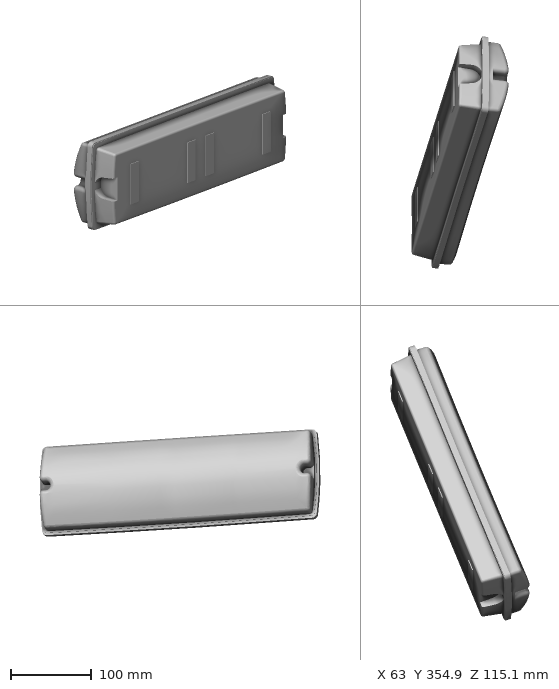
import cadquery as cq
import math


RIM_HALF_LENGTH = 177.47
RIM_HALF_WIDTH = 57.535
END_BULGE = 3.8
SIDE_BULGE = 0.6
RIM_CORNER_RADIUS = 6.0
CLEARANCE = 1.0

BOW_DEPTH = 1.2
BOW_RADIUS = (RIM_HALF_LENGTH**2 + BOW_DEPTH**2) / (2 * BOW_DEPTH)
BOW_HALF_ANGLE = math.degrees(math.asin((RIM_HALF_LENGTH + CLEARANCE) / BOW_RADIUS))

CROWN_X = -0.3
SHOULDER_X = 11.3
FLANGE_FRONT_X = 26.0
FLANGE_BACK_X = 26.8
RIM_BACK_X = 34.0
LIP_BACK_X = 34.8
BACK_X = 61.9
PAD_BACK_X = 63.03

FLANGE_INSET = 2.6
COVER_INSET = 4.7
COVER_DRAFT = 1.0
COVER_CORNER_RADIUS = 4.0
COVER_EDGE_FILLET = 4.5
NOTCH_FLOOR_X = 20.8
NOTCH_HALF_WIDTH = 5.6
NOTCH_TIP_INSET = 18.7
NOTCH_EDGE_FILLET = 5.0
COVER_HALF_WIDTH = RIM_HALF_WIDTH - COVER_INSET
DOME_RISE = SHOULDER_X - CROWN_X
DOME_RADIUS = (COVER_HALF_WIDTH**2 + DOME_RISE**2) / (2 * DOME_RISE)
TOOL_HALF_WIDTH = RIM_HALF_WIDTH + CLEARANCE

LIP_INSET = 1.2
TRAY_INSET = 6.9
TRAY_DRAFT = 7.0
TRAY_CORNER_RADIUS = 3.5
TRAY_BACK_FILLET = 3.0
RECESS_FLOOR_Y = 158.5
RECESS_RADIUS = 14.0
RECESS_BACK_HALF_WIDTH = 15.1
PAD_LENGTH = 15.0
PAD_HALF_WIDTH = 26.3
PAD_CENTRES_Y = (-126.3, -17.6, 17.6, 126.3)


def outline(x, inset):
    """Bowed rectangle at depth x, smaller than the rim by inset all round."""
    half_length = RIM_HALF_LENGTH - inset
    half_width = RIM_HALF_WIDTH - inset
    corner_y = half_length - END_BULGE
    corner_z = half_width - SIDE_BULGE
    return (
        cq.Workplane("YZ", origin=(x, 0, 0))
        .moveTo(-corner_y, -corner_z)
        .threePointArc((0, -half_width), (corner_y, -corner_z))
        .threePointArc((half_length, 0), (corner_y, corner_z))
        .threePointArc((0, half_width), (-corner_y, corner_z))
        .threePointArc((-half_length, 0), (-corner_y, -corner_z))
        .close()
    )


def bow(section):
    """Sweep a closed XZ section lengthwise along the bow, about an axis parallel to Z."""
    swept = section.revolve(
        2 * BOW_HALF_ANGLE,
        (BOW_DEPTH - BOW_RADIUS, 0, 0),
        (BOW_DEPTH - BOW_RADIUS, 1, 0),
    )
    return swept.rotate(
        (BOW_DEPTH - BOW_RADIUS, 0, 0), (BOW_DEPTH - BOW_RADIUS, 0, 1), -BOW_HALF_ANGLE
    )


def bowed_plate(front_x, back_x, inset):
    """Plate with the rim's outline, less inset, and bowed front and back faces."""
    section = (
        cq.Workplane("XZ")
        .moveTo(front_x + BOW_DEPTH, -TOOL_HALF_WIDTH)
        .lineTo(back_x + BOW_DEPTH, -TOOL_HALF_WIDTH)
        .lineTo(back_x + BOW_DEPTH, TOOL_HALF_WIDTH)
        .lineTo(front_x + BOW_DEPTH, TOOL_HALF_WIDTH)
        .close()
    )
    block_front_x = front_x - BOW_DEPTH
    block_back_x = back_x + 2 * BOW_DEPTH
    block = (
        outline(block_front_x, inset)
        .extrude(block_back_x - block_front_x)
        .edges("|X")
        .fillet(RIM_CORNER_RADIUS - inset)
    )
    return block.intersect(bow(section))


def build_dome():
    """Drafted walls of the cover, closed by the bowed dome in front and the bowed rim plane behind."""
    dome_x = CROWN_X + BOW_DEPTH
    back_x = FLANGE_BACK_X + BOW_DEPTH
    tool_edge_x = dome_x + DOME_RADIUS - math.sqrt(DOME_RADIUS**2 - TOOL_HALF_WIDTH**2)
    section = (
        cq.Workplane("XZ")
        .moveTo(tool_edge_x, -TOOL_HALF_WIDTH)
        .threePointArc((dome_x, 0), (tool_edge_x, TOOL_HALF_WIDTH))
        .lineTo(back_x, TOOL_HALF_WIDTH)
        .lineTo(back_x, -TOOL_HALF_WIDTH)
        .close()
    )
    root_x = back_x + BOW_DEPTH
    walls = outline(root_x, COVER_INSET).extrude(-root_x - BOW_DEPTH, taper=COVER_DRAFT)
    walls = walls.edges("not(#X or <X or >X)").fillet(COVER_CORNER_RADIUS)
    dome = walls.intersect(bow(section))
    front_edges = cq.selectors.BoxSelector(
        (CROWN_X - CLEARANCE, -RIM_HALF_LENGTH, -RIM_HALF_WIDTH),
        (SHOULDER_X + 2 * BOW_DEPTH, RIM_HALF_LENGTH, RIM_HALF_WIDTH),
    )
    return dome.edges(front_edges).fillet(COVER_EDGE_FILLET)


def notch_cutter(end):
    """Round-ended screw notch, open at the given end (+1 or -1) and at the front."""
    tip_centre_y = RIM_HALF_LENGTH - NOTCH_TIP_INSET + NOTCH_HALF_WIDTH
    return (
        cq.Workplane("YZ", origin=(NOTCH_FLOOR_X, 0, 0))
        .moveTo(end * RIM_HALF_LENGTH, -NOTCH_HALF_WIDTH)
        .lineTo(end * tip_centre_y, -NOTCH_HALF_WIDTH)
        .threePointArc(
            (end * (tip_centre_y - NOTCH_HALF_WIDTH), 0), (end * tip_centre_y, NOTCH_HALF_WIDTH)
        )
        .lineTo(end * RIM_HALF_LENGTH, NOTCH_HALF_WIDTH)
        .close()
        .extrude(CROWN_X - CLEARANCE - NOTCH_FLOOR_X)
    )


def notch_rim(end):
    """Selector for the edges of a notch where it opens through the dome and the end wall."""
    inner_y = RIM_HALF_LENGTH - NOTCH_TIP_INSET - CLEARANCE
    reach_z = NOTCH_HALF_WIDTH + CLEARANCE
    return cq.selectors.BoxSelector(
        (CROWN_X - CLEARANCE, end * inner_y, -reach_z),
        (NOTCH_FLOOR_X - CLEARANCE, end * RIM_HALF_LENGTH, reach_z),
    )


def build_cover():
    """Front cover: filleted dome with a screw notch at each end, on a thin flange."""
    cover = build_dome()
    for end in (-1, 1):
        cover = cover.cut(notch_cutter(end))
        cover = cover.edges(notch_rim(end)).fillet(NOTCH_EDGE_FILLET)
    flange = bowed_plate(FLANGE_FRONT_X, FLANGE_BACK_X, FLANGE_INSET)
    return cover.union(flange)


def recess_cutter(end):
    """Cable recess in the given end (+1 or -1) of the tray, rounded towards the rim."""
    centre_x = RIM_BACK_X + RECESS_RADIUS
    profile = (
        cq.Workplane("XZ", origin=(0, end * RECESS_FLOOR_Y, 0))
        .moveTo(PAD_BACK_X, -RECESS_BACK_HALF_WIDTH)
        .lineTo(centre_x, -RECESS_RADIUS)
        .threePointArc((RIM_BACK_X, 0), (centre_x, RECESS_RADIUS))
        .lineTo(PAD_BACK_X, RECESS_BACK_HALF_WIDTH)
        .close()
    )
    return profile.extrude(-end * (RIM_HALF_LENGTH - RECESS_FLOOR_Y))


def build_tray():
    """Back part with drafted walls, rounded corners and back edge, rooted inside the rim."""
    root_x = FLANGE_BACK_X + 2 * BOW_DEPTH
    tray = outline(root_x, TRAY_INSET).extrude(BACK_X - root_x, taper=TRAY_DRAFT)
    tray = tray.edges("not(#X or <X or >X)").fillet(TRAY_CORNER_RADIUS)
    tray = tray.faces(">X").edges().fillet(TRAY_BACK_FILLET)
    for end in (-1, 1):
        tray = tray.cut(recess_cutter(end))
    return tray


def build_base():
    """Back tray with the bowed rim, a flat lip behind the rim and mounting pads on the back."""
    base = build_tray()
    base = base.union(bowed_plate(FLANGE_BACK_X, RIM_BACK_X, 0))
    lip = (
        outline(RIM_BACK_X - BOW_DEPTH, LIP_INSET)
        .extrude(LIP_BACK_X - RIM_BACK_X + BOW_DEPTH)
        .edges("|X")
        .fillet(RIM_CORNER_RADIUS - LIP_INSET)
    )
    base = base.union(lip)
    for y in PAD_CENTRES_Y:
        pad = cq.Workplane("YZ", origin=(BACK_X, y, 0)).rect(PAD_LENGTH, 2 * PAD_HALF_WIDTH)
        base = base.union(pad.extrude(PAD_BACK_X - BACK_X))
    return base


cover = build_cover()
base = build_base()
result = cq.Compound.makeCompound([cover.val(), base.val()])